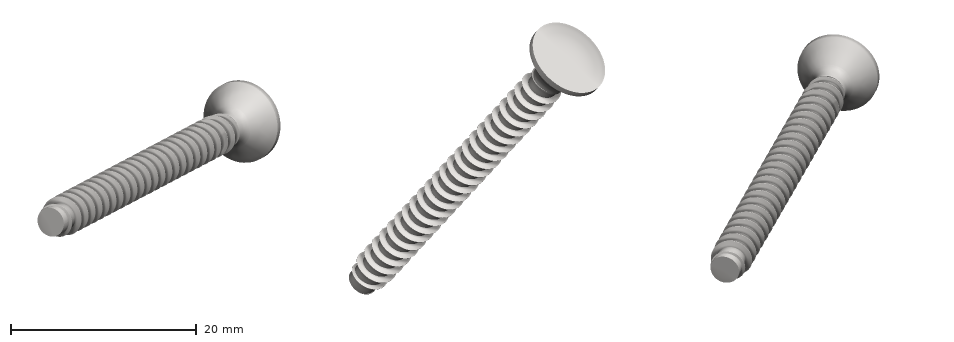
import cadquery as cq
import math

length = 45.0
head_diameter = 9.0
rim_height = 0.7
neck_diameter = 3.7
neck_fillet_radius = 1.7
neck_fillet_end = 4.1
neck_end = 4.5
core_diameter = 3.2

thread_diameter = 4.5
pitch = 1.63
crest_width = 0.06
root_width = 0.55
root_depth_in_core = 0.1
thread_start = 4.24
thread_start_angle = -90.0
fade_in_turns = 1.0
full_turns = 22.5
fade_out_turns = 1.5

land_height = 0.08
land_width = 1.17
land_turns = fade_in_turns + full_turns + 1.0

head_radius = head_diameter / 2
neck_radius = neck_diameter / 2
core_radius = core_diameter / 2
thread_radius = thread_diameter / 2
root_radius = core_radius - root_depth_in_core
land_radius = core_radius + land_height
thread_depth = thread_radius - root_radius


def make_blank():
    """Head with a 45 degree cone, filleted neck and plain core as one turned body."""
    cone_angle = math.radians(45)
    fillet_centre_radius = neck_radius + neck_fillet_radius

    def fillet_point(angle):
        return (
            fillet_centre_radius - neck_fillet_radius * math.cos(angle),
            neck_fillet_end - neck_fillet_radius * math.sin(angle),
        )

    return (
        cq.Workplane("XZ")
        .lineTo(head_radius, 0)
        .lineTo(head_radius, rim_height)
        .lineTo(*fillet_point(cone_angle))
        .threePointArc(fillet_point(cone_angle / 2), fillet_point(0))
        .lineTo(neck_radius, neck_end)
        .lineTo(core_radius, neck_end)
        .lineTo(core_radius, length)
        .lineTo(0, length)
        .close()
        .revolve(360, (0, 0, 0), (0, 1, 0))
        .val()
    )


def helix_edge(start_radius, end_radius, turns, offset):
    """Helical edge, conical if its radius changes, shifted along the axis by offset."""
    rise = pitch * turns
    if start_radius == end_radius:
        helix = cq.Wire.makeHelix(pitch, rise, start_radius)
    else:
        cone_angle = math.atan2(end_radius - start_radius, rise)
        slant = 1 / math.cos(cone_angle)
        helix = cq.Wire.makeHelix(
            pitch * slant, rise * slant, start_radius, angle=math.degrees(cone_angle)
        )
    return helix.translate(cq.Vector(0, 0, offset)).Edges()[0]


def helical_ridge(turns_before, turns, corners):
    """Solid ridge with a four-cornered section, wound on after turns_before turns.

    Each corner is (start radius, end radius, offset along the axis), in order round the section.
    """
    edges = [helix_edge(start, end, turns, offset) for start, end, offset in corners]
    next_edges = edges[1:] + edges[:1]
    sides = [cq.Face.makeRuledSurface(edge, following) for edge, following in zip(edges, next_edges)]
    caps = []
    for end_of_edge in (0, 1):
        cap_corners = [edge.positionAt(end_of_edge) for edge in edges]
        caps.append(cq.Face.makeFromWires(cq.Wire.makePolygon(cap_corners, close=True)))
    ridge = cq.Solid.makeSolid(cq.Shell.makeShell(sides + caps))
    spin = thread_start_angle + 360 * turns_before
    lift = thread_start + pitch * turns_before
    return ridge.rotate(cq.Vector(0, 0, 0), cq.Vector(0, 0, 1), spin).translate(cq.Vector(0, 0, lift))


def thread_section(turns_before, turns, start_radius, end_radius):
    """Thread ridge whose crest goes from one radius to another.

    The whole section moves with the crest, so a fading ridge sinks into the core and gets narrower.
    """
    start_root = start_radius - thread_depth
    end_root = end_radius - thread_depth
    return helical_ridge(
        turns_before,
        turns,
        [
            (start_root, end_root, -root_width / 2),
            (start_radius, end_radius, -crest_width / 2),
            (start_radius, end_radius, crest_width / 2),
            (start_root, end_root, root_width / 2),
        ],
    )


def make_thread():
    """The three thread sections in order from the neck, the last cut off flush with the tip."""
    fade_in = thread_section(0, fade_in_turns, neck_radius, thread_radius)
    full = thread_section(fade_in_turns, full_turns, thread_radius, thread_radius)
    fade_out = thread_section(fade_in_turns + full_turns, fade_out_turns, thread_radius, core_radius)
    within_length = cq.Solid.makeCylinder(head_radius, length)
    return [fade_in, full, fade_out.intersect(within_length)]


def make_land():
    """Raised land from the thread's crest line towards the tip."""
    return helical_ridge(
        0,
        land_turns,
        [
            (root_radius, root_radius, 0),
            (land_radius, land_radius, 0),
            (land_radius, land_radius, land_width),
            (root_radius, root_radius, land_width),
        ],
    )


screw = make_blank().fuse(make_land())
for section in make_thread():
    screw = screw.fuse(section)
result = cq.Workplane(screw.Solids()[0]).rotate((0, 0, 0), (1, 0, 0), 90)